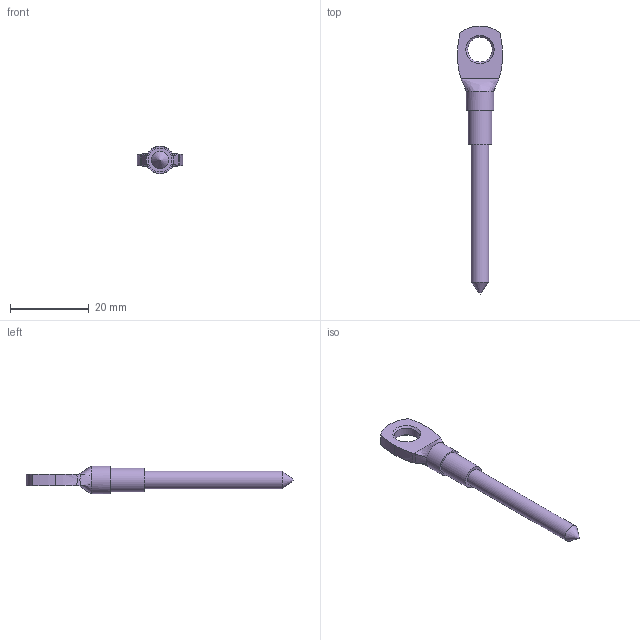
import cadquery as cq
import math

EYE_TO_END = 6.0
WIDEST_STATION = 1.5
EYE_CORNER_STATION = -4.35
NECK_STATION = 7.4
COLLAR_STATION = 10.5
SLEEVE_STATION = 15.4
ROD_STATION = 24.0
CONE_STATION = 59.0
TIP_STATION = 62.0

EYE_THICKNESS = 3.0
EYE_WIDTH = 11.5
EYE_CORNER_WIDTH = 10.1
NECK_WIDTH = 9.6
HOLE_DIAMETER = 6.3
HOLE_CHAMFER = 0.45
FLANK_FILLET = 7.0
JOINT_TOLERANCE = 0.1

COLLAR_DIAMETER = 7.0
SLEEVE_DIAMETER = 6.0
ROD_DIAMETER = 4.4


def flank_half_width(station, end_width, end_station):
    """Half width of the flank arc that is widest at WIDEST_STATION and reaches end_width / 2."""
    drop = (EYE_WIDTH - end_width) / 2
    reach = end_station - WIDEST_STATION
    radius = (reach ** 2 + drop ** 2) / (2 * drop)
    offset = station - WIDEST_STATION
    return EYE_WIDTH / 2 - radius + math.sqrt(radius ** 2 - offset ** 2)


def make_eye():
    """Flat plate with a rounded end, bulging flanks and a chamfered hole."""
    end_half = EYE_CORNER_WIDTH / 2
    neck_half = NECK_WIDTH / 2
    widest_half = EYE_WIDTH / 2
    upper_station = (EYE_CORNER_STATION + WIDEST_STATION) / 2
    lower_station = (WIDEST_STATION + NECK_STATION) / 2
    upper_half = flank_half_width(upper_station, EYE_CORNER_WIDTH, EYE_CORNER_STATION)
    lower_half = flank_half_width(lower_station, NECK_WIDTH, NECK_STATION)
    plate = (
        cq.Workplane("XY")
        .moveTo(-end_half, -EYE_CORNER_STATION)
        .threePointArc((0, EYE_TO_END), (end_half, -EYE_CORNER_STATION))
        .threePointArc((upper_half, -upper_station), (widest_half, -WIDEST_STATION))
        .threePointArc((lower_half, -lower_station), (neck_half, -NECK_STATION))
        .lineTo(-neck_half, -NECK_STATION)
        .threePointArc((-lower_half, -lower_station), (-widest_half, -WIDEST_STATION))
        .threePointArc((-upper_half, -upper_station), (-end_half, -EYE_CORNER_STATION))
        .close()
        .extrude(EYE_THICKNESS / 2, both=True)
    )
    return plate.cut(make_hole())


def make_hole():
    """Cutter for the eye's hole, chamfered at both faces, revolved about the Z axis."""
    radius = HOLE_DIAMETER / 2
    mouth_radius = radius + HOLE_CHAMFER
    face_height = EYE_THICKNESS / 2
    wall_height = face_height - HOLE_CHAMFER
    return (
        cq.Workplane("XZ")
        .moveTo(0, -face_height)
        .lineTo(mouth_radius, -face_height)
        .lineTo(radius, -wall_height)
        .lineTo(radius, wall_height)
        .lineTo(mouth_radius, face_height)
        .lineTo(0, face_height)
        .close()
        .revolve(360, (0, 0, 0), (0, 1, 0))
    )


def make_neck():
    """Ruled transition from the plate's rectangular section to the round collar."""
    collar_radius = COLLAR_DIAMETER / 2
    corner_angle = math.atan2(EYE_THICKNESS, NECK_WIDTH)
    corner_x = collar_radius * math.cos(corner_angle)
    corner_z = collar_radius * math.sin(corner_angle)
    return (
        cq.Workplane("XZ", origin=(0, -NECK_STATION, 0))
        .rect(NECK_WIDTH, EYE_THICKNESS)
        .workplane(offset=COLLAR_STATION - NECK_STATION)
        .moveTo(-corner_x, -corner_z)
        .threePointArc((0, -collar_radius), (corner_x, -corner_z))
        .threePointArc((collar_radius, 0), (corner_x, corner_z))
        .threePointArc((0, collar_radius), (-corner_x, corner_z))
        .threePointArc((-collar_radius, 0), (-corner_x, -corner_z))
        .close()
        .loft(ruled=True)
    )


def make_shank():
    """Collar, sleeve, rod and conical tip, revolved about the Y axis."""
    collar_radius = COLLAR_DIAMETER / 2
    sleeve_radius = SLEEVE_DIAMETER / 2
    rod_radius = ROD_DIAMETER / 2
    return (
        cq.Workplane("YZ")
        .moveTo(-COLLAR_STATION, 0)
        .lineTo(-COLLAR_STATION, collar_radius)
        .lineTo(-SLEEVE_STATION, collar_radius)
        .lineTo(-SLEEVE_STATION, sleeve_radius)
        .lineTo(-ROD_STATION, sleeve_radius)
        .lineTo(-ROD_STATION, rod_radius)
        .lineTo(-CONE_STATION, rod_radius)
        .lineTo(-TIP_STATION, 0)
        .close()
        .revolve(360, (0, 0, 0), (1, 0, 0))
    )


def make_head():
    """Eye and neck joined, with the slight corner between their flanks rounded."""
    flank_joints = cq.selectors.BoxSelector(
        (-EYE_WIDTH, -NECK_STATION - JOINT_TOLERANCE, -JOINT_TOLERANCE),
        (EYE_WIDTH, -NECK_STATION + JOINT_TOLERANCE, JOINT_TOLERANCE),
    )
    head = make_eye().union(make_neck())
    return head.edges("|Z").edges(flank_joints).fillet(FLANK_FILLET)


result = make_head().union(make_shank())